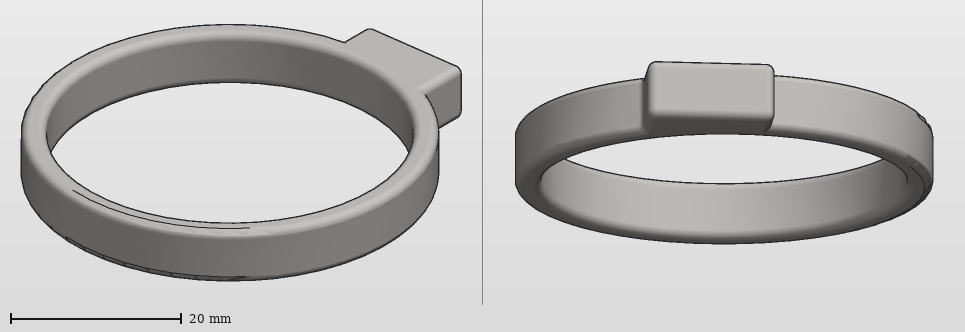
import cadquery as cq
import math

overall_length = 55.0

inner_diameter = 43.0
outer_diameter = 49.0
height = 7.0

block_angle = 26.6
block_width = 14.85
block_offset = 4.05

edge_radius = 1.0
root_radius = 1.0

turn = math.radians(block_angle)
block_side = block_offset + block_width / 2
corner_y = overall_length - outer_diameter / 2 - edge_radius
corner_reach = (corner_y - (block_side - edge_radius) * math.sin(turn)) / math.cos(turn)
block_outer_face = corner_reach + edge_radius


def make_disc(diameter):
    """Full-height disc on the ring axis."""
    return cq.Workplane("XY").circle(diameter / 2).extrude(height)


def make_block():
    """Block reaching in to the ring axis, with its outer upright corners rounded."""
    block = (
        cq.Workplane("XY")
        .center(block_offset, block_outer_face / 2)
        .rect(block_width, block_outer_face)
        .extrude(height)
        .edges("|Z and >Y")
        .fillet(edge_radius)
    )
    return block.rotate((0, 0, 0), (0, 0, 1), block_angle)


def root_point():
    """Point at mid height where the block's +X side meets the outside of the ring."""
    ring_radius = outer_diameter / 2
    angle = math.acos(block_side / ring_radius) + turn
    return (ring_radius * math.cos(angle), ring_radius * math.sin(angle), height / 2)


def make_ring():
    """Ring and block as one solid, with rounded rims and a rounded root beside the block."""
    body = make_disc(outer_diameter).union(make_block()).cut(make_disc(inner_diameter))
    body = body.faces("<Z or >Z").edges().fillet(edge_radius)
    root_edge = cq.selectors.NearestToPointSelector(root_point())
    return body.edges(root_edge).fillet(root_radius)


ring = make_ring()

result = cq.Compound.makeCompound([ring.val()])